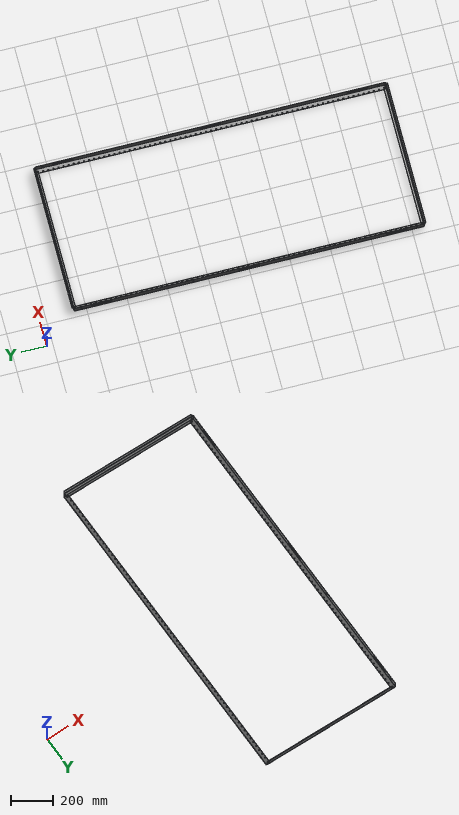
import cadquery as cq
import math

FRAME_WIDTH = 743.0
FRAME_LENGTH = 1740.0
FRAME_DEPTH = 44.0
SHEET = 1.2
HALF_WIDTH = FRAME_WIDTH / 2
HALF_LENGTH = FRAME_LENGTH / 2

PIN_DROP = 7.0
RIM_Z = FRAME_DEPTH - PIN_DROP

LIP_FLAT = 2.1
LIP_FLARE = 7.0
LIP_EDGE = SHEET * math.sin(math.radians(45))
LIP_TIP_INSET = 7.8
END_FLANGE = 12.0
END_WALL_OUTER = HALF_LENGTH - LIP_FLARE - LIP_FLAT
END_WALL_INNER = END_WALL_OUTER - SHEET
END_WALL_TOP = RIM_Z - LIP_EDGE - LIP_FLARE
LIP_FLAT_TOP = END_WALL_TOP + SHEET
FLARE_FOOT_Y = HALF_LENGTH - LIP_EDGE - (RIM_Z - LIP_FLAT_TOP)

CORNER_NOTCH_WIDTH = 10.0
CORNER_NOTCH_HEIGHT = 10.0
END_FLANGE_HALF_WIDTH = HALF_WIDTH - CORNER_NOTCH_WIDTH

SIDE_HEIGHT = 35.0
SIDE_FLANGE = 23.0
SIDE_FLANGE_INNER = HALF_WIDTH - SIDE_FLANGE

SLOT_LENGTH = 100.0
SLOT_HEIGHT = 12.0
SLOT_Z = 17.0
SLOT_PITCH = 725.0
SLOT_COUNT = 3

EDGE_NOTCH_WIDTH = 5.0
EDGE_NOTCH_DEPTH = 16.5
EDGE_NOTCH_PITCH = 550.0
EDGE_NOTCH_COUNT = 4

FOOT_SLOT_LENGTH = 23.0
FOOT_SLOT_HEIGHT = 3.0
FOOT_SLOT_Y = 807.0

HOLE_DIAMETER = 4.4
HOLE_PITCH = 25.0
HOLE_COUNT = 67
HOLE_INSET = 5.0

PIN_DIAMETER = 3.0
PIN_HEAD_DIAMETER = 9.0
PIN_HEAD_HEIGHT = 2.0
PIN_X = HALF_WIDTH - 16.5
PIN_Y = END_WALL_OUTER - 7.3


def block(x_range, y_range, z_range):
    """Box between the given limits on each axis."""
    (x0, x1), (y0, y1), (z0, z1) = x_range, y_range, z_range
    return cq.Workplane("XY").box(x1 - x0, y1 - y0, z1 - z0, centered=False).translate((x0, y0, z0))


def row_positions(count, pitch):
    """Evenly spaced positions centred on zero."""
    return [(index - (count - 1) / 2) * pitch for index in range(count)]


def side_wall_opening(y, length, z_bottom, z_top):
    """Rectangular cutter through the +X side wall, centred on y."""
    return block((HALF_WIDTH - SHEET, HALF_WIDTH), (y - length / 2, y + length / 2), (z_bottom, z_top))


def side_wall_slots():
    """Round-ended cutters for the long slots of the +X side wall."""
    return (
        cq.Workplane("YZ", origin=(HALF_WIDTH - SHEET, 0, SLOT_Z))
        .pushPoints([(y, 0) for y in row_positions(SLOT_COUNT, SLOT_PITCH)])
        .slot2D(SLOT_LENGTH, SLOT_HEIGHT)
        .extrude(SHEET)
    )


def side_flange_holes():
    """Cutters for the row of holes near the inner edge of the +X side flange."""
    return (
        cq.Workplane("XY", origin=(SIDE_FLANGE_INNER + HOLE_INSET, 0, 0))
        .pushPoints([(0, y) for y in row_positions(HOLE_COUNT, HOLE_PITCH)])
        .circle(HOLE_DIAMETER / 2)
        .extrude(SHEET)
    )


def side_rail():
    """Rail on the +X side: an L section with its flange at the bottom, pointing inward."""
    length_range = (-END_WALL_INNER, END_WALL_INNER)
    rail = block((HALF_WIDTH - SHEET, HALF_WIDTH), length_range, (0, SIDE_HEIGHT))
    rail = rail.union(block((SIDE_FLANGE_INNER, HALF_WIDTH), length_range, (0, SHEET)))

    end_flange_inner = END_WALL_OUTER - END_FLANGE
    for y_range in ((-END_WALL_INNER, -end_flange_inner), (end_flange_inner, END_WALL_INNER)):
        rail = rail.cut(block((SIDE_FLANGE_INNER, END_FLANGE_HALF_WIDTH), y_range, (0, SHEET)))

    for y in row_positions(EDGE_NOTCH_COUNT, EDGE_NOTCH_PITCH):
        rail = rail.cut(
            side_wall_opening(y, EDGE_NOTCH_WIDTH, SIDE_HEIGHT - EDGE_NOTCH_DEPTH, SIDE_HEIGHT)
        )
    for y in (-FOOT_SLOT_Y, FOOT_SLOT_Y):
        rail = rail.cut(side_wall_opening(y, FOOT_SLOT_LENGTH, SHEET, SHEET + FOOT_SLOT_HEIGHT))
    return rail.cut(side_wall_slots()).cut(side_flange_holes())


def flared_lip():
    """Lip of the +Y end rail, narrowing slightly toward its tip."""
    lip = (
        cq.Workplane("YZ")
        .polyline(
            [
                (END_WALL_INNER, END_WALL_TOP),
                (HALF_LENGTH - LIP_FLARE, END_WALL_TOP),
                (HALF_LENGTH, RIM_Z - LIP_EDGE),
                (HALF_LENGTH - LIP_EDGE, RIM_Z),
                (FLARE_FOOT_Y, LIP_FLAT_TOP),
                (END_WALL_INNER, LIP_FLAT_TOP),
            ]
        )
        .close()
        .extrude(HALF_WIDTH, both=True)
    )
    tip_half_width = HALF_WIDTH - LIP_TIP_INSET
    outline = (
        cq.Workplane("XY")
        .polyline(
            [
                (-HALF_WIDTH, END_WALL_INNER),
                (HALF_WIDTH, END_WALL_INNER),
                (HALF_WIDTH, END_WALL_OUTER),
                (tip_half_width, HALF_LENGTH),
                (-tip_half_width, HALF_LENGTH),
                (-HALF_WIDTH, END_WALL_OUTER),
            ]
        )
        .close()
        .extrude(RIM_Z)
    )
    return lip.intersect(outline)


def end_rail():
    """Rail on the +Y end: inward flange, wall with lower corner notches and flared lip."""
    flange_width = (-END_FLANGE_HALF_WIDTH, END_FLANGE_HALF_WIDTH)
    wall_thickness = (END_WALL_INNER, END_WALL_OUTER)
    rail = block((-HALF_WIDTH, HALF_WIDTH), wall_thickness, (CORNER_NOTCH_HEIGHT, END_WALL_TOP))
    rail = rail.union(block(flange_width, wall_thickness, (0, CORNER_NOTCH_HEIGHT)))
    rail = rail.union(block(flange_width, (END_WALL_OUTER - END_FLANGE, END_WALL_OUTER), (0, SHEET)))
    pin_holes = (
        cq.Workplane("XY")
        .pushPoints([(-PIN_X, PIN_Y), (PIN_X, PIN_Y)])
        .circle(PIN_DIAMETER / 2)
        .extrude(SHEET)
    )
    return rail.union(flared_lip()).clean().cut(pin_holes)


def corner_pin(x, y):
    """Headed pin hanging down through an end flange."""
    shank = cq.Workplane("XY", origin=(x, y, -PIN_DROP)).circle(PIN_DIAMETER / 2).extrude(PIN_DROP + SHEET)
    head = cq.Workplane("XY", origin=(x, y, SHEET)).circle(PIN_HEAD_DIAMETER / 2).extrude(PIN_HEAD_HEIGHT)
    return shank.union(head)


right_rail = side_rail()
left_rail = right_rail.mirror("YZ")
back_rail = end_rail()
front_rail = back_rail.mirror("XZ")
corner_pins = [corner_pin(x, y) for x in (-PIN_X, PIN_X) for y in (-PIN_Y, PIN_Y)]

result = cq.Compound.makeCompound(
    [
        right_rail.val(),
        left_rail.val(),
        back_rail.val(),
        front_rail.val(),
        *[pin.val() for pin in corner_pins],
    ]
)